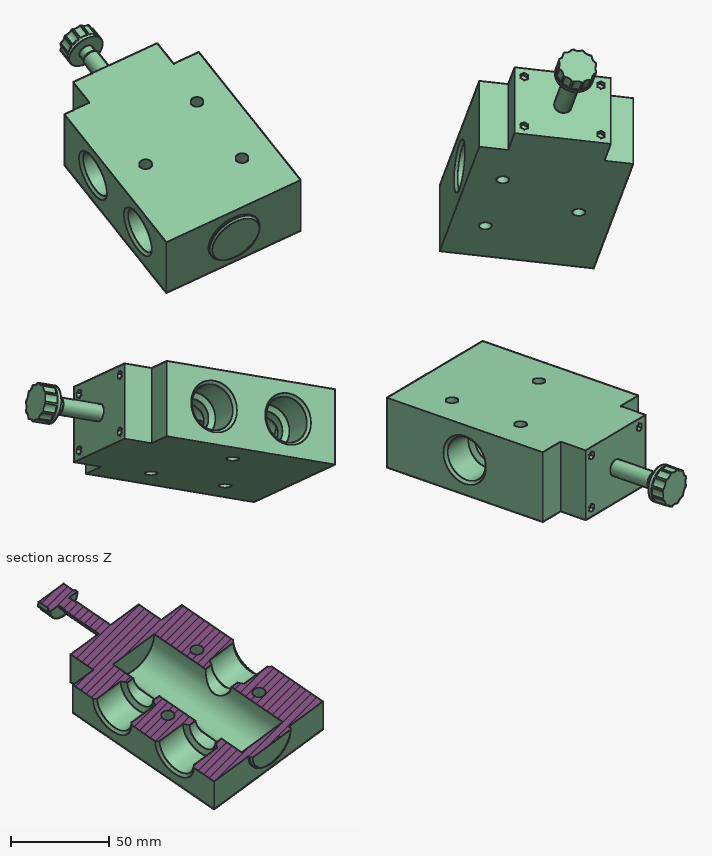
import cadquery as cq
import math

total_length = 156.0
plug_height = 2.2
body_length = 100.0
block_length = 16.0
knob_grip_length = 7.2
flange_length = 2.0
neck_length = 4.7

body_right_x = total_length - plug_height
body_left_x = body_right_x - body_length
block_left_x = body_left_x - block_length
flange_left_x = knob_grip_length
neck_left_x = flange_left_x + flange_length
stem_left_x = neck_left_x + neck_length

body_width = 80.0
body_height = 40.0
block_width = 50.0
stem_diameter = 9.0
neck_diameter = 8.0
knob_diameter = 20.0

flute_count = 12
flute_half_angle = math.radians(12)
flute_floor_radius = 9.2

bore_diameter = 30.0
plug_end_diameter = 28.0
plug_chamfer = (bore_diameter - plug_end_diameter) / 2
bore_end_wall = 4.7

port_center_x = body_left_x + body_length / 2
port_spacing = 44.0
port_diameter = 24.2
port_mouth_diameter = 27.3
port_depth = 18.7
port_throat_diameter = 18.1
drill_tip_half_angle = math.radians(60)

mount_diameter = 6.5
mount_offset_y = port_spacing / 2

screw_pitch_y = 40.0
screw_pitch_z = 30.0
socket_across_flats = 3.9
socket_depth = 2.3


def x_cylinder(left_x, right_x, diameter):
    """Cylinder along the X axis between two X positions."""
    return cq.Workplane("YZ", origin=(left_x, 0, 0)).circle(diameter / 2).extrude(right_x - left_x)


def x_box(left_x, right_x, width):
    """Full-height box centred on the X axis between two X positions."""
    return cq.Workplane("YZ", origin=(left_x, 0, 0)).rect(width, body_height).extrude(right_x - left_x)


def fluted_grip():
    """Round grip with shallow concave flutes around its rim."""
    def rim_point(radius, angle):
        return (radius * math.cos(angle), radius * math.sin(angle))

    radius = knob_diameter / 2
    pitch = 2 * math.pi / flute_count
    profile = cq.Workplane("YZ").moveTo(*rim_point(radius, -flute_half_angle))
    for index in range(flute_count):
        center = index * pitch
        profile = profile.threePointArc(
            rim_point(flute_floor_radius, center),
            rim_point(radius, center + flute_half_angle),
        )
        profile = profile.threePointArc(
            rim_point(radius, center + pitch / 2),
            rim_point(radius, center + pitch - flute_half_angle),
        )
    return profile.close().extrude(knob_grip_length)


def port(center_x):
    """Cutter for a port in the -Y face: chamfered mouth, drilled hole, throat into the bore."""
    mouth = port_mouth_diameter / 2
    hole = port_diameter / 2
    throat = port_throat_diameter / 2
    mouth_depth = mouth - hole
    tip_depth = port_depth + (hole - throat) / math.tan(drill_tip_half_angle)
    half_width = body_width / 2
    outline = [
        (0, 0),
        (mouth, 0),
        (hole, mouth_depth),
        (hole, port_depth),
        (throat, tip_depth),
        (throat, half_width),
        (0, half_width),
    ]
    cutter = cq.Workplane("XY").polyline(outline).close().revolve(360, (0, 0), (0, 1))
    return cutter.translate((center_x, -half_width, 0))


def hex_socket(y, z):
    """Cutter for a hex socket in the block face."""
    corner_diameter = socket_across_flats / math.cos(math.pi / 6)
    hexagon = cq.Workplane("YZ").polygon(6, corner_diameter).extrude(socket_depth)
    return hexagon.rotate((0, 0, 0), (1, 0, 0), 30).translate((block_left_x, y, z))


plug = x_cylinder(body_right_x, total_length, bore_diameter).faces(">X").chamfer(plug_chamfer)
result = (
    x_box(body_left_x, body_right_x, body_width)
    .cut(x_cylinder(body_left_x + bore_end_wall, body_right_x - bore_end_wall, bore_diameter))
    .union(plug)
    .union(x_box(block_left_x, body_left_x, block_width))
    .union(x_cylinder(stem_left_x, block_left_x, stem_diameter))
    .union(x_cylinder(neck_left_x, stem_left_x, neck_diameter))
    .union(x_cylinder(flange_left_x, neck_left_x, knob_diameter))
    .union(fluted_grip())
)

for side in (-1, 1):
    result = result.cut(port(port_center_x + side * port_spacing / 2))
result = result.cut(port(port_center_x).rotate((0, 0, 0), (1, 0, 0), 180))

mount_points = [
    (port_center_x, -mount_offset_y),
    (port_center_x - port_spacing / 2, mount_offset_y),
    (port_center_x + port_spacing / 2, mount_offset_y),
]
mount_holes = (
    cq.Workplane("XY", origin=(0, 0, -body_height / 2))
    .pushPoints(mount_points)
    .circle(mount_diameter / 2)
    .extrude(body_height)
)
result = result.cut(mount_holes)

for y in (-screw_pitch_y / 2, screw_pitch_y / 2):
    for z in (-screw_pitch_z / 2, screw_pitch_z / 2):
        result = result.cut(hex_socket(y, z))